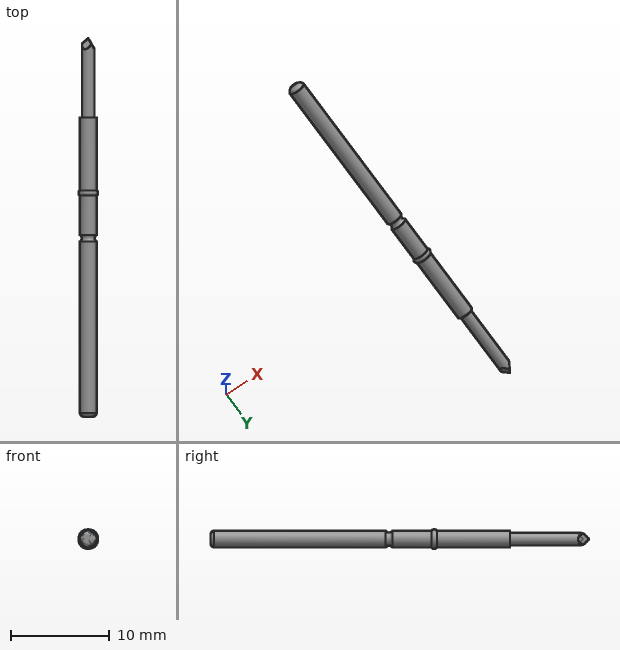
import cadquery as cq
import math

total_length = 38.4

barrel_diameter = 1.73
barrel_radius = barrel_diameter / 2
barrel_length = 30.37
end_flat_radius = 0.4
end_dome_height = 0.4

ring_radius = 1.0
ring_centre = 22.7
ring_width = 0.55

groove_centre = 18.12
groove_width = 0.7
groove_depth = 0.2

plunger_radius = 0.65
facet_count = 3
facet_angle = 30.0


def make_barrel():
    """Revolve the half profile of the barrel about the Y axis."""
    groove_start = groove_centre - groove_width / 2
    groove_end = groove_centre + groove_width / 2
    ring_start = ring_centre - ring_width / 2
    ring_end = ring_centre + ring_width / 2
    return (
        cq.Workplane("XY")
        .lineTo(end_flat_radius, 0)
        .tangentArcPoint((barrel_radius, end_dome_height), relative=False)
        .lineTo(barrel_radius, groove_start)
        .threePointArc((barrel_radius - groove_depth, groove_centre), (barrel_radius, groove_end))
        .lineTo(barrel_radius, ring_start)
        .threePointArc((ring_radius, ring_centre), (barrel_radius, ring_end))
        .lineTo(barrel_radius, barrel_length)
        .lineTo(0, barrel_length)
        .close()
        .revolve(360, (0, 0), (0, 1))
    )


def make_plunger():
    """Make the plunger rod and cut the facets that meet on the axis at its tip."""
    plunger = (
        cq.Workplane("XZ", origin=(0, barrel_length, 0))
        .circle(plunger_radius)
        .extrude(barrel_length - total_length)
    )
    reach = 2 * plunger_radius
    facet_length = reach / math.tan(math.radians(facet_angle))
    waste = (
        cq.Workplane("XY")
        .moveTo(0, total_length)
        .lineTo(reach, total_length - facet_length)
        .lineTo(reach, total_length)
        .close()
        .extrude(reach, both=True)
    )
    for index in range(facet_count):
        plunger = plunger.cut(waste.rotate((0, 0, 0), (0, 1, 0), index * 360 / facet_count))
    return plunger


result = make_barrel().union(make_plunger())